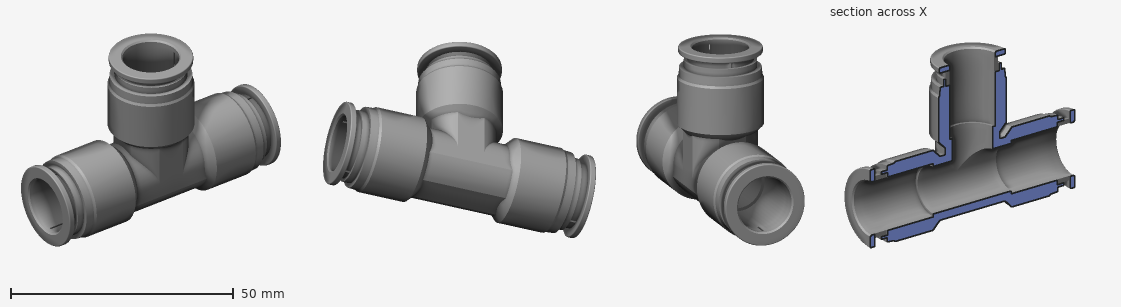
import cadquery as cq
import math


port_reach = 29.2
body_radius = 9.75
body_start = 11.2
body_end = 21.95
body_chamfer_length = 0.55
cap_base_radius = 9.43
cap_tip_radius = 9.3
cap_end = 24.45
guide_radius = 8.25
guide_end = 26.1

neck_radius = 7.5
flange_radius = 9.5
flange_thickness = 1.4
flange_rounding = 0.25
slot_width = 0.5
slot_length = 3.5

tube_bore_radius = 6.4
mouth_radius = 6.75
mouth_depth = 0.35
passage_radius = 5.7
tube_stop = body_start

bar_half_width = 7.8
flat_half_width = 3.2
bar_corner_radius = math.hypot(bar_half_width, flat_half_width)

cone_start = body_start - (body_radius - bar_half_width)
flange_start = port_reach - flange_thickness
cap_start = body_end + body_chamfer_length


def revolve_profile(points):
    """Revolve (radius, height) points around the Z axis."""
    profile = cq.Workplane("XZ").polyline(points).close()
    return profile.revolve(360, (0, 0, 0), (0, 1, 0))


def on_each_port(shape):
    """Combine a Z-axis port shape with its copies along -Y and +Y."""
    toward_minus_y = shape.rotate((0, 0, 0), (1, 0, 0), 90)
    toward_plus_y = shape.rotate((0, 0, 0), (1, 0, 0), -90)
    return shape.union(toward_minus_y).union(toward_plus_y)


def make_port_outside():
    """Stepped body and collet neck, closed by the rounded release flange."""
    stepped_body = revolve_profile([
        (0, cone_start),
        (bar_half_width, cone_start),
        (body_radius, body_start),
        (body_radius, body_end),
        (cap_base_radius, cap_start),
        (cap_tip_radius, cap_end),
        (guide_radius, cap_end),
        (guide_radius, guide_end),
        (neck_radius, guide_end),
        (neck_radius, flange_start),
        (0, flange_start),
    ])
    flange = cq.Workplane("XY").circle(flange_radius).extrude(flange_thickness)
    flange = flange.edges("%CIRCLE").fillet(flange_rounding)
    return stepped_body.union(flange.translate((0, 0, flange_start)))


def make_port_bore():
    """Narrow passage from the tee centre, then the wider tube bore with its lead-in."""
    return revolve_profile([
        (0, 0),
        (passage_radius, 0),
        (passage_radius, tube_stop),
        (tube_bore_radius, tube_stop),
        (tube_bore_radius, port_reach - mouth_depth),
        (mouth_radius, port_reach),
        (0, port_reach),
    ])


def make_collet_slots():
    """Two opposite slots through the collet wall, below the flange."""
    slot_bar = cq.Workplane("XY").box(
        slot_width, 2 * neck_radius, slot_length, centered=(True, True, False)
    )
    collet = cq.Workplane("XY").circle(neck_radius).extrude(slot_length)
    return slot_bar.intersect(collet).translate((0, 0, flange_start - slot_length))


def make_squared_bar(length):
    """Round bar along Z, trimmed by four flats."""
    square = cq.Workplane("XY").rect(2 * bar_half_width, 2 * bar_half_width).extrude(length)
    return square.intersect(cq.Workplane("XY").circle(bar_corner_radius).extrude(length))


def make_run():
    """Bar along Y: round above the port axis, squared below it."""
    length = 2 * body_start
    extent = 2 * body_radius
    lower_space = cq.Workplane("XY").box(extent, extent, length)
    lower_space = lower_space.translate((0, -extent / 2, length / 2))
    round_bar = cq.Workplane("XY").circle(bar_half_width).extrude(length)
    bar = make_squared_bar(length).intersect(lower_space).union(round_bar)
    return bar.translate((0, 0, -length / 2)).rotate((0, 0, 0), (1, 0, 0), 90)


branch = make_squared_bar(body_start)
solid_tee = on_each_port(make_port_outside()).union(make_run()).union(branch)
bores = on_each_port(make_port_bore())
slots = on_each_port(make_collet_slots())

result = solid_tee.cut(bores).cut(slots)